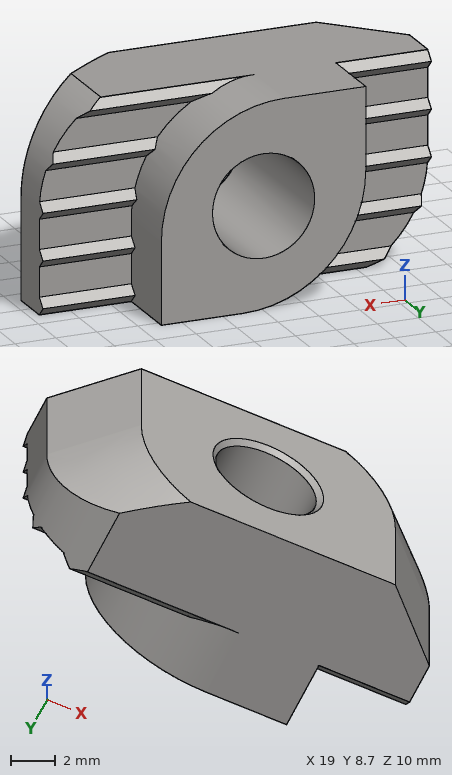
import cadquery as cq
import math

length = 19.0
height = 10.0
depth = 8.7
flange_depth = 5.28
bevel = 3.2
corner_radius = 5.66
boss_corner_radius = 6.0
tooth_height = 0.42
tooth_pitch = 2.28
tooth_count = 5
hole_diameter = 5.0
hole_chamfer = 0.25

half_length = length / 2
half_height = height / 2
tooth_tip = flange_depth + tooth_height
front_half_length = half_length - bevel


def half_turn(shape):
    """Turn a shape 180 degrees about the hole axis."""
    return shape.rotate((0, 0, 0), (0, 1, 0), 180)


def extrude_to_back(sketch, distance):
    """Extrude an XZ sketch from its plane toward +Y."""
    return sketch.extrude(-distance)


def flange_outline():
    """Rectangle with its upper right and lower left corners rounded."""
    arc_center = half_length - corner_radius
    arc_end = arc_center + math.sqrt(corner_radius**2 - half_height**2)
    mid_z = corner_radius * math.sin(math.asin(half_height / corner_radius) / 2)
    mid_x = arc_center + math.sqrt(corner_radius**2 - mid_z**2)
    return (
        cq.Workplane("XZ")
        .moveTo(-half_length, half_height)
        .lineTo(arc_end, half_height)
        .threePointArc((mid_x, mid_z), (half_length, 0))
        .lineTo(half_length, -half_height)
        .lineTo(-arc_end, -half_height)
        .threePointArc((-mid_x, -mid_z), (-half_length, 0))
        .close()
    )


def bevel_envelope():
    """Bevelled ends: conical in the rounded quarters, flat in the square ones."""
    cone = (
        cq.Workplane("XY")
        .lineTo(front_half_length, 0)
        .lineTo(half_length, bevel)
        .lineTo(half_length, tooth_tip)
        .lineTo(0, tooth_tip)
        .close()
        .revolve(360, (0, 0, 0), (0, 1, 0))
    )
    upper_right = cq.Workplane("XY").box(half_length, tooth_tip, half_height, centered=False)
    conical_quarter = cone.intersect(upper_right)
    flat_quarter = (
        cq.Workplane("XY")
        .lineTo(-front_half_length, 0)
        .lineTo(-half_length, bevel)
        .lineTo(-half_length, tooth_tip)
        .lineTo(0, tooth_tip)
        .close()
        .extrude(half_height)
    )
    upper_half = conical_quarter.union(flat_quarter)
    return upper_half.union(half_turn(upper_half))


def make_teeth():
    """Ridges along X on the back of the flange, with 45 degree flanks."""
    teeth = cq.Workplane("YZ")
    for index in range(tooth_count):
        z = (index - (tooth_count - 1) / 2) * tooth_pitch
        ridge = (
            cq.Workplane("YZ", origin=(-half_length, 0, 0))
            .moveTo(0, z - tooth_height)
            .lineTo(flange_depth, z - tooth_height)
            .lineTo(tooth_tip, z)
            .lineTo(flange_depth, z + tooth_height)
            .lineTo(0, z + tooth_height)
            .close()
            .extrude(length)
        )
        teeth = teeth.union(ridge)
    return teeth


def make_flange():
    """T-slot flange: toothed slab trimmed to its outline and bevels."""
    slab = cq.Workplane("XY").box(length, flange_depth, height, centered=(True, False, True))
    toothed_slab = slab.union(make_teeth())
    outline = extrude_to_back(flange_outline(), tooth_tip)
    return toothed_slab.intersect(outline).intersect(bevel_envelope())


def make_boss():
    """Square boss with the same two opposite corners rounded as the flange."""
    boss = extrude_to_back(cq.Workplane("XZ").rect(height, height), depth)
    return boss.edges("|Y").edges(">(1, 0, 1) or <(1, 0, 1)").fillet(boss_corner_radius)


def make_hole():
    """Through hole with a chamfered mouth on the front face."""
    radius = hole_diameter / 2
    return (
        cq.Workplane("XY")
        .lineTo(radius + hole_chamfer, 0)
        .lineTo(radius, hole_chamfer)
        .lineTo(radius, depth)
        .lineTo(0, depth)
        .close()
        .revolve(360, (0, 0, 0), (0, 1, 0))
    )


result = make_flange().union(make_boss()).cut(make_hole())